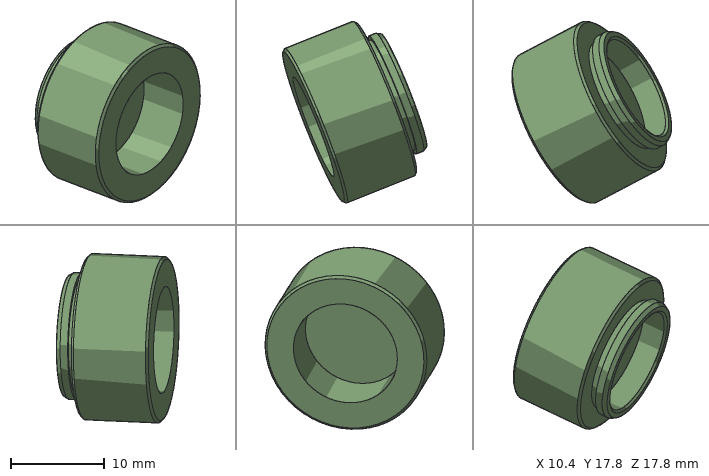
import cadquery as cq

outer_radius = 8.89
length = 10.4
front_x = -length / 2
back_x = length / 2

shoulder_depth = 2.05
body_chamfer = 0.27
shoulder_x = front_x + shoulder_depth

lip_radius = 6.8
lip_length = 1.28
lip_chamfer_length = 0.46
lip_chamfer_height = 0.27
groove_radius = 6.33
lip_back_x = front_x + lip_length

bore_radius = 5.7
bore_chamfer = 0.25

lens_depth = 2.85
lens_thickness = 2.2


def make_housing():
    """Stepped tube revolved about the X axis, open from end to end."""
    outline = [
        (front_x, bore_radius + bore_chamfer),
        (front_x, lip_radius - lip_chamfer_height),
        (front_x + lip_chamfer_length, lip_radius),
        (lip_back_x, lip_radius),
        (lip_back_x, groove_radius),
        (shoulder_x, groove_radius),
        (shoulder_x, outer_radius - body_chamfer),
        (shoulder_x + body_chamfer, outer_radius),
        (back_x - body_chamfer, outer_radius),
        (back_x, outer_radius - body_chamfer),
        (back_x, bore_radius),
        (front_x + bore_chamfer, bore_radius),
    ]
    return cq.Workplane("XZ").polyline(outline).close().revolve(360, (0, 0, 0), (1, 0, 0))


def make_lens():
    """Disc that fills the bore, set back from the front end."""
    return cq.Workplane("YZ", origin=(front_x + lens_depth, 0, 0)).circle(bore_radius).extrude(lens_thickness)


housing = make_housing()
lens = make_lens()

result = cq.Compound.makeCompound([housing.val(), lens.val()])